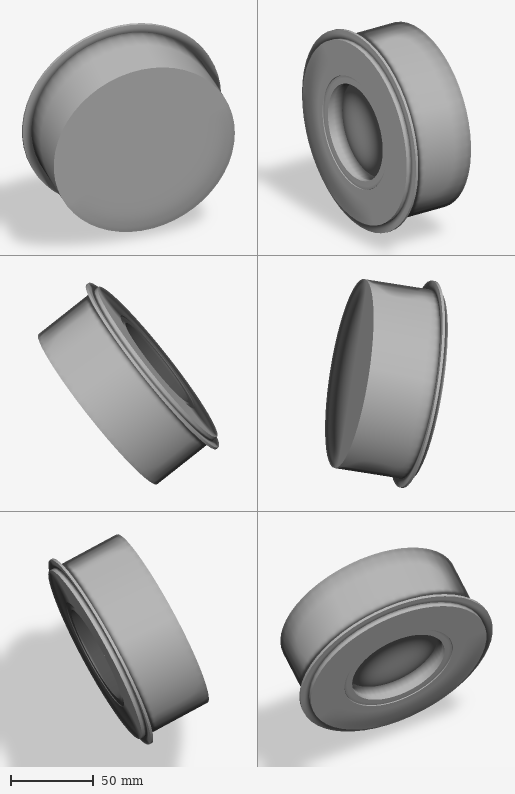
import cadquery as cq

width = 46.5
body_diameter = 116.0
front_x = -width / 2

flange_diameter = 127.0
flange_setback = 3.2
flange_thickness = 1.7

recess_diameter = 71.5
recess_depth = 0.5

pocket_diameter = 61.0
pocket_depth = 10.3

groove_width = 0.3
groove_depth = 0.6
groove_inner_diameter = recess_diameter - 2 * groove_width


def disc(diameter, setback, length):
    """Solid disc on the X axis, starting at a setback behind the front face."""
    start = (front_x + setback, 0, 0)
    return cq.Workplane("YZ", origin=start).circle(diameter / 2).extrude(length)


body = disc(body_diameter, 0, width)
flange = disc(flange_diameter, flange_setback, flange_thickness)

recess = disc(recess_diameter, 0, recess_depth)
pocket = disc(pocket_diameter, recess_depth, pocket_depth)

groove_core = disc(groove_inner_diameter, recess_depth, groove_depth)
groove = disc(recess_diameter, recess_depth, groove_depth).cut(groove_core)

result = body.union(flange).cut(recess).cut(pocket).cut(groove)